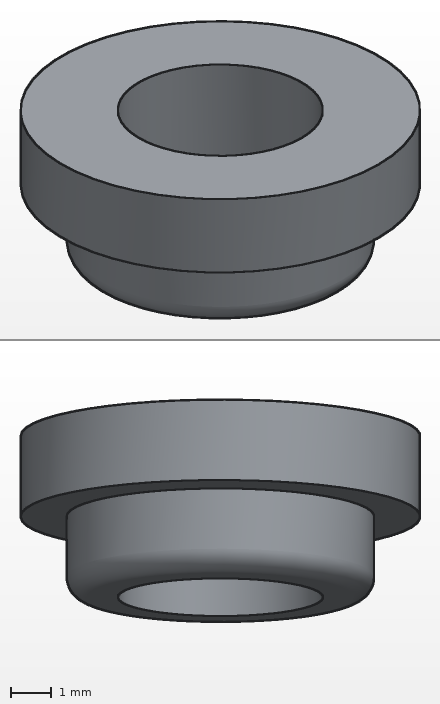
import cadquery as cq

flange_diameter = 9.75
spigot_diameter = 7.51
bore_diameter = 5.0
total_height = 4.0
flange_height = total_height / 2
spigot_height = total_height - flange_height
spigot_edge_radius = 0.5

spigot = (
    cq.Workplane("XY")
    .circle(spigot_diameter / 2)
    .extrude(spigot_height)
    .faces("<Z")
    .edges()
    .fillet(spigot_edge_radius)
)

flange = (
    cq.Workplane("XY", origin=(0, 0, spigot_height))
    .circle(flange_diameter / 2)
    .extrude(flange_height)
)

bore = cq.Workplane("XY").circle(bore_diameter / 2).extrude(total_height)

result = spigot.union(flange).cut(bore)